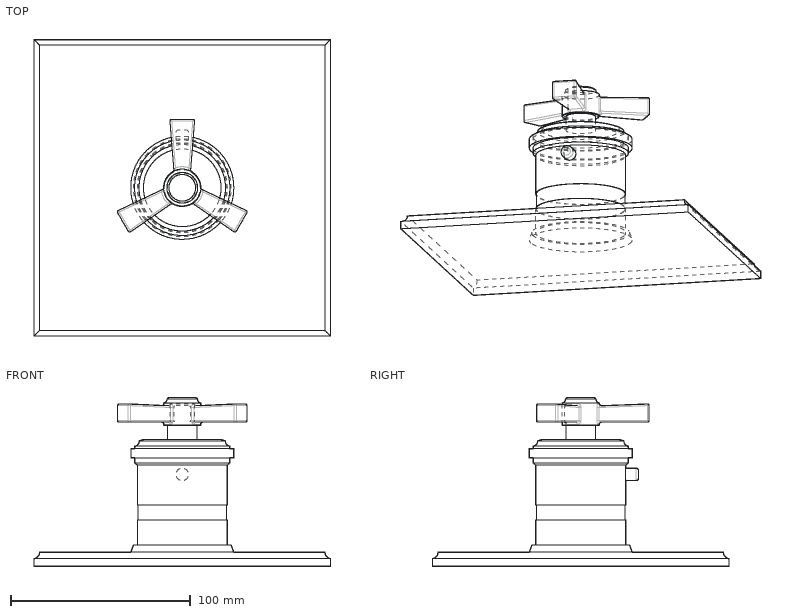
import cadquery as cq
import math

plate_side = 165.1
plate_rim_height = 4.3
plate_height = 8.0
cove_width = 3.0

flange_bottom_radius = 28.7
flange_top_radius = 27.2
flange_top_z = 11.9
body_radius = 25.1
dial_depth = 0.3
dial_bottom_z = 25.8
dial_top_z = 34.2
body_top_z = 56.3

cap_radius = 26.5
cap_chamfer_top_z = 57.6
band_radius = 28.7
band_bottom_z = 60.5
band_top_z = 65.5
shoulder_bottom_z = 66.9
shoulder_top_z = 69.8
shoulder_radius = 24.1
cap_face_radius = 21.6
cap_top_z = 70.7

stem_radius = 8.3
hub_radius = 10.4
hub_bottom_z = 78.5
hub_bottom_chamfer = 0.3
hub_rim_z = 91.0
hub_step_radius = 8.6
hub_step_z = 93.3
hub_face_radius = 7.5
total_height = 94.1

arm_count = 3
arm_reach = 38.1
arm_root_width = 9.0
arm_tip_width = 13.9
arm_bottom_z = 80.2
arm_root_top_z = 89.3
arm_tip_top_z = 90.5
arm_edge_fillet = 1.0
arm_root_fillet = 1.3
root_zone_margin = 0.2

pin_radius = 3.5
pin_reach = 32.2
pin_z = 51.2
pin_tip_fillet = 1.3


def cove_midpoint(outer_x, low_z, inner_x, high_z):
    """Middle point of a concave quarter round that rises inwards from (outer_x, low_z)."""
    sag = math.sqrt(0.5)
    return (outer_x - (outer_x - inner_x) * sag, high_z - (high_z - low_z) * sag)


def make_plate():
    """Square plate with a concave moulding around its top edge."""
    plate = cq.Workplane("XY").box(plate_side, plate_side, plate_height, centered=(True, True, False))
    half = plate_side / 2
    inner = half - cove_width
    cove_cutter = (
        cq.Workplane("XZ")
        .moveTo(inner, plate_height)
        .threePointArc(
            cove_midpoint(half, plate_rim_height, inner, plate_height),
            (half, plate_rim_height),
        )
        .lineTo(half, plate_height)
        .close()
        .extrude(half, both=True)
    )
    for side in range(4):
        plate = plate.cut(cove_cutter.rotate((0, 0, 0), (0, 0, 1), 90 * side))
    return plate


def make_turned_body():
    """Flange, body, cap, stem and hub as one turned profile."""
    dial_radius = body_radius - dial_depth
    return (
        cq.Workplane("XZ")
        .moveTo(0, 0)
        .lineTo(flange_bottom_radius, 0)
        .lineTo(flange_bottom_radius, plate_height)
        .lineTo(flange_top_radius, flange_top_z)
        .lineTo(body_radius, flange_top_z)
        .lineTo(body_radius, dial_bottom_z)
        .lineTo(dial_radius, dial_bottom_z)
        .lineTo(dial_radius, dial_top_z)
        .lineTo(body_radius, dial_top_z)
        .lineTo(body_radius, body_top_z)
        .lineTo(cap_radius, cap_chamfer_top_z)
        .lineTo(cap_radius, band_bottom_z)
        .lineTo(band_radius, band_bottom_z)
        .lineTo(band_radius, band_top_z)
        .lineTo(cap_radius, band_top_z)
        .lineTo(cap_radius, shoulder_bottom_z)
        .threePointArc(
            cove_midpoint(cap_radius, shoulder_bottom_z, shoulder_radius, shoulder_top_z),
            (shoulder_radius, shoulder_top_z),
        )
        .lineTo(cap_face_radius, cap_top_z)
        .lineTo(stem_radius, cap_top_z)
        .lineTo(stem_radius, hub_bottom_z)
        .lineTo(hub_radius - hub_bottom_chamfer, hub_bottom_z)
        .lineTo(hub_radius, hub_bottom_z + hub_bottom_chamfer)
        .lineTo(hub_radius, hub_rim_z)
        .threePointArc(
            cove_midpoint(hub_radius, hub_rim_z, hub_step_radius, hub_step_z),
            (hub_step_radius, hub_step_z),
        )
        .lineTo(hub_face_radius, total_height)
        .lineTo(0, total_height)
        .close()
        .revolve(360, (0, 0, 0), (0, 1, 0))
    )


def make_arm():
    """Arm along +Y that widens and thickens towards its tip."""
    root_y = stem_radius
    plan = (
        cq.Workplane("XY")
        .polyline([
            (-arm_root_width / 2, root_y),
            (arm_root_width / 2, root_y),
            (arm_tip_width / 2, arm_reach),
            (-arm_tip_width / 2, arm_reach),
        ])
        .close()
        .extrude(total_height)
    )
    side = (
        cq.Workplane("YZ")
        .polyline([
            (root_y, arm_bottom_z),
            (arm_reach, arm_bottom_z),
            (arm_reach, arm_tip_top_z),
            (root_y, arm_root_top_z),
        ])
        .close()
        .extrude(arm_tip_width, both=True)
    )
    return plan.intersect(side).edges("not(<Y)").fillet(arm_edge_fillet)


def make_pin():
    """Round pin standing out of the body along +Y."""
    return (
        cq.Workplane("XZ", origin=(0, 0, pin_z))
        .circle(pin_radius)
        .extrude(-pin_reach)
        .faces(">Y")
        .edges()
        .fillet(pin_tip_fillet)
    )


def add_arms(body):
    """Join the arms evenly around the hub and round the corners where they meet it."""
    arm = make_arm()
    for index in range(arm_count):
        body = body.union(arm.rotate((0, 0, 0), (0, 0, 1), index * 360 / arm_count))
    root_zone = (
        cq.Workplane("XY", origin=(0, 0, arm_bottom_z - root_zone_margin))
        .circle(hub_radius + root_zone_margin)
        .extrude(arm_tip_top_z - arm_bottom_z + root_zone_margin)
        .val()
    )
    root_edges = [
        edge for edge in body.edges().vals()
        if root_zone.isInside(edge.startPoint()) and root_zone.isInside(edge.endPoint())
    ]
    return body.newObject(root_edges).fillet(arm_root_fillet)


result = add_arms(make_plate().union(make_turned_body()).union(make_pin()))